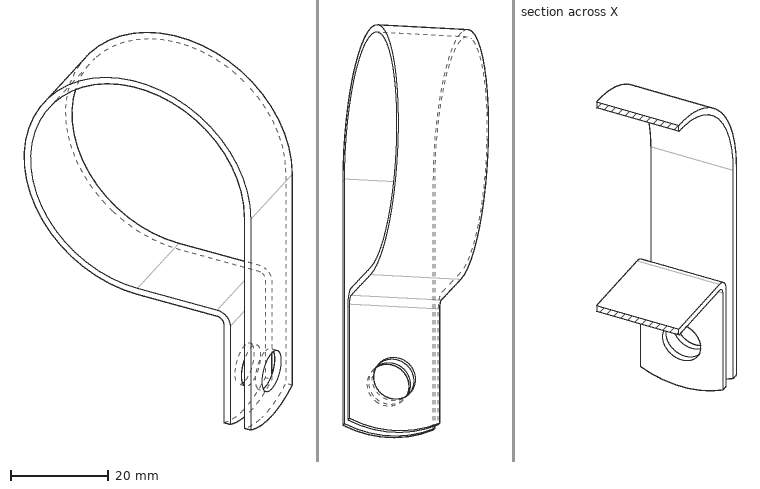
import cadquery as cq
import math

strip_width = 19.05
thickness = 1.524
loop_outer_radius = 26.13
overall_height = 80.07
leg_gap = 3.2
bend_inner_radius = 1.524
hole_diameter = 8.8
hole_height_above_tip = 11.1
tip_radius = 22.6

loop_inner_radius = loop_outer_radius - thickness
bend_outer_radius = bend_inner_radius + thickness
tip_z = loop_outer_radius - overall_height
tip_sagitta = tip_radius - math.sqrt(tip_radius**2 - (strip_width / 2) ** 2)
short_leg_outer_x = loop_inner_radius - leg_gap
short_leg_inner_x = short_leg_outer_x - thickness
bend_center_x = short_leg_outer_x - bend_outer_radius
bend_center_z = -loop_inner_radius - bend_outer_radius
hole_z = tip_z + hole_height_above_tip


def bend_midpoint(radius):
    """Point halfway round the quarter bend between the shelf and the short leg."""
    offset = radius * math.sqrt(0.5)
    return (bend_center_x + offset, bend_center_z + offset)


def loop_midpoint(radius):
    """Point halfway round the three-quarter loop."""
    offset = radius * math.sqrt(0.5)
    return (-offset, offset)


def make_strap():
    """Bent strip: long leg, three-quarter loop, flat shelf, bend and short leg."""
    return (
        cq.Workplane("XZ")
        .moveTo(loop_outer_radius, tip_z)
        .lineTo(loop_outer_radius, 0)
        .threePointArc(loop_midpoint(loop_outer_radius), (0, -loop_outer_radius))
        .lineTo(bend_center_x, -loop_outer_radius)
        .threePointArc(bend_midpoint(bend_inner_radius), (short_leg_inner_x, bend_center_z))
        .lineTo(short_leg_inner_x, tip_z)
        .lineTo(short_leg_outer_x, tip_z)
        .lineTo(short_leg_outer_x, bend_center_z)
        .threePointArc(bend_midpoint(bend_outer_radius), (bend_center_x, -loop_inner_radius))
        .lineTo(0, -loop_inner_radius)
        .threePointArc(loop_midpoint(loop_inner_radius), (loop_inner_radius, 0))
        .lineTo(loop_inner_radius, tip_z)
        .close()
        .extrude(strip_width / 2, both=True)
    )


def make_tip_envelope():
    """Full-height block whose lower edge is the arc that rounds both leg tips."""
    half_width = strip_width / 2
    shoulder_z = tip_z + tip_sagitta
    return (
        cq.Workplane("YZ")
        .moveTo(-half_width, loop_outer_radius)
        .lineTo(-half_width, shoulder_z)
        .threePointArc((0, tip_z), (half_width, shoulder_z))
        .lineTo(half_width, loop_outer_radius)
        .close()
        .extrude(loop_outer_radius, both=True)
    )


def make_bolt_hole():
    """Cylinder along X that pierces both legs."""
    return (
        cq.Workplane("YZ")
        .center(0, hole_z)
        .circle(hole_diameter / 2)
        .extrude(loop_outer_radius, both=True)
    )


result = make_strap().intersect(make_tip_envelope()).cut(make_bolt_hole())